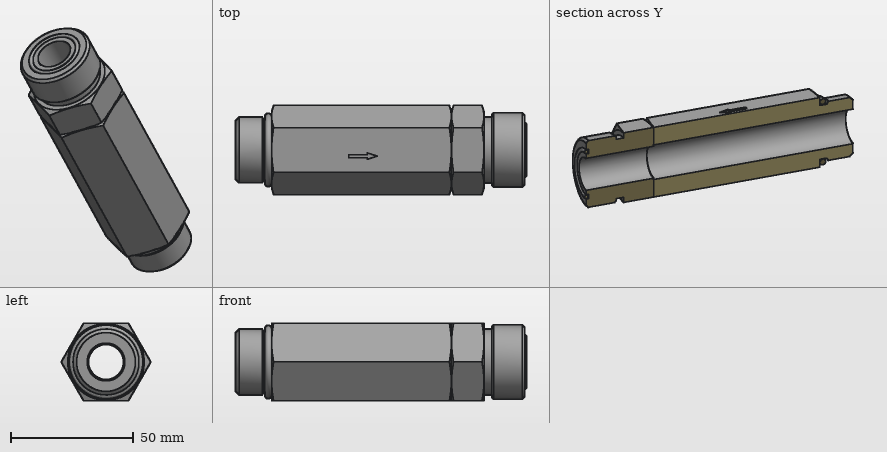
import cadquery as cq
import math


total_length = 119.1
across_flats = 31.8
across_corners = across_flats / math.cos(math.radians(30))

stud_thread_end = 11.0
housing_face = 14.8
joint_face = 88.4
connector_hex_end = 101.7
collar_start = 104.9
face_seal_protrusion = 0.7
connector_end = total_length - face_seal_protrusion

hex_chamfer_circle = 31.3
hex_chamfer_angle = 18.0

stud_diameter = 27.0
stud_tip_diameter = 24.0
stud_tip_chamfer = (stud_diameter - stud_tip_diameter) / 2
stud_groove_diameter = 24.7
stud_groove_taper = 0.7
housing_bore = 15.5

neck_diameter = 27.2
collar_diameter = 30.5
collar_back_chamfer = 0.7
collar_front_chamfer = 1.1
connector_bore = 14.3

stud_seal_outer = 30.1
stud_seal_section = (stud_seal_outer - stud_groove_diameter) / 2
stud_seal_center = housing_face - stud_seal_section / 2
face_seal_outer = 22.3
face_seal_section = 1.8
face_seal_center = total_length - face_seal_section / 2

arrow_tail = 46.3
arrow_length = 11.7
arrow_head_length = 4.0
arrow_head_half_width = 1.3
arrow_shaft_half_width = 0.6
arrow_center_y = -2.5
arrow_depth = 0.2


def cylinder(start, end, diameter):
    """Cylinder about the X axis between two stations."""
    return cq.Workplane("YZ").workplane(offset=start).circle(diameter / 2).extrude(end - start)


def chamfered_hex(start, end):
    """Hexagonal bar with flats facing up and down and its corners turned off at both ends."""
    face_radius = hex_chamfer_circle / 2
    corner_radius = across_corners / 2
    chamfer_length = (corner_radius - face_radius) * math.tan(math.radians(hex_chamfer_angle))
    bar = cq.Workplane("YZ").workplane(offset=start).polygon(6, across_corners).extrude(end - start)
    turned_blank = (
        cq.Workplane("XY")
        .moveTo(start, 0)
        .lineTo(start, face_radius)
        .lineTo(start + chamfer_length, corner_radius)
        .lineTo(end - chamfer_length, corner_radius)
        .lineTo(end, face_radius)
        .lineTo(end, 0)
        .close()
        .revolve(360, (0, 0, 0), (1, 0, 0))
    )
    return bar.intersect(turned_blank)


def make_stud():
    """Turned stud end: tip chamfer, thread diameter, and the tapered run-out into the seal groove."""
    return (
        cq.Workplane("XY")
        .moveTo(0, 0)
        .lineTo(0, stud_tip_diameter / 2)
        .lineTo(stud_tip_chamfer, stud_diameter / 2)
        .lineTo(stud_thread_end, stud_diameter / 2)
        .lineTo(stud_thread_end + stud_groove_taper, stud_groove_diameter / 2)
        .lineTo(housing_face, stud_groove_diameter / 2)
        .lineTo(housing_face, 0)
        .close()
        .revolve(360, (0, 0, 0), (1, 0, 0))
    )


def make_flow_arrow():
    """Block arrow pointing along +X, sunk into the top flat of the housing."""
    tip = arrow_tail + arrow_length
    head_start = tip - arrow_head_length
    return (
        cq.Workplane("XY", origin=(0, arrow_center_y, across_flats / 2 - arrow_depth))
        .moveTo(arrow_tail, -arrow_shaft_half_width)
        .lineTo(head_start, -arrow_shaft_half_width)
        .lineTo(head_start, -arrow_head_half_width)
        .lineTo(tip, 0)
        .lineTo(head_start, arrow_head_half_width)
        .lineTo(head_start, arrow_shaft_half_width)
        .lineTo(arrow_tail, arrow_shaft_half_width)
        .close()
        .extrude(2 * arrow_depth)
    )


def make_housing():
    """Long hex housing with its stud end, through bore and flow arrow."""
    body = chamfered_hex(housing_face, joint_face).union(make_stud())
    return body.cut(cylinder(0, joint_face, housing_bore)).cut(make_flow_arrow())


def make_connector():
    """Hex end connector: neck, chamfered collar, face-seal groove and through bore."""
    collar = (
        cylinder(collar_start, connector_end, collar_diameter)
        .faces("<X").chamfer(collar_back_chamfer)
        .faces(">X").chamfer(collar_front_chamfer)
    )
    neck = cylinder(connector_hex_end, collar_start, neck_diameter)
    body = chamfered_hex(joint_face, connector_hex_end).union(neck).union(collar)

    groove_floor = total_length - face_seal_section
    groove_inner = face_seal_outer - 2 * face_seal_section
    groove = cylinder(groove_floor, connector_end, face_seal_outer).cut(
        cylinder(groove_floor, connector_end, groove_inner)
    )
    return body.cut(groove).cut(cylinder(joint_face, connector_end, connector_bore))


def make_o_ring(center, outer_diameter, section_diameter):
    """O-ring about the X axis."""
    mean_radius = (outer_diameter - section_diameter) / 2
    return (
        cq.Workplane("XY")
        .center(center, mean_radius)
        .circle(section_diameter / 2)
        .revolve(360, (0, -mean_radius, 0), (1, -mean_radius, 0))
    )


housing = make_housing()
connector = make_connector()
stud_seal = make_o_ring(stud_seal_center, stud_seal_outer, stud_seal_section)
face_seal = make_o_ring(face_seal_center, face_seal_outer, face_seal_section)

result = cq.Compound.makeCompound([housing.val(), connector.val(), stud_seal.val(), face_seal.val()])